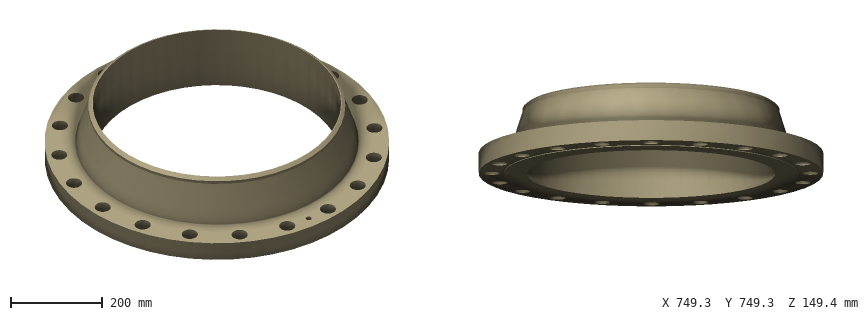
import cadquery as cq

flange_diameter = 749.3
flange_top = 46.0
raised_face_diameter = 641.4
raised_face_height = 1.6

overall_height = 149.42
bore_diameter = 540.0
hub_base_diameter = 616.0
hub_base_fillet = 3.0
hub_neck_diameter = 558.8
neck_height = 7.0
weld_bevel_height = 6.0
weld_land_width = 1.6

bolt_count = 20
bolt_hole_diameter = 34.9
bolt_circle_diameter = 692.2
bolt_pitch_angle = 360.0 / bolt_count

stepped_hole_angle = bolt_pitch_angle / 2
upper_step_diameter = 13.0
upper_step_depth = 10.0
lower_step_diameter = 7.25
stepped_hole_depth = 20.0


def flange_body():
    """Revolve the half section about Z, then round the foot of the hub."""
    bore_radius = bore_diameter / 2
    raised_face_radius = raised_face_diameter / 2
    flange_radius = flange_diameter / 2
    neck_radius = hub_neck_diameter / 2
    bevel_bottom = overall_height - weld_bevel_height
    neck_bottom = bevel_bottom - neck_height
    section = [
        (bore_radius, 0),
        (raised_face_radius, 0),
        (raised_face_radius, raised_face_height),
        (flange_radius, raised_face_height),
        (flange_radius, flange_top),
        (hub_base_diameter / 2, flange_top),
        (neck_radius, neck_bottom),
        (neck_radius, bevel_bottom),
        (bore_radius + weld_land_width, overall_height),
        (bore_radius, overall_height),
    ]
    body = cq.Workplane("XZ").polyline(section).close().revolve(360, (0, 0), (0, 1))
    flange_upper_face = body.faces(cq.selectors.NearestToPointSelector((0, 0, flange_top)))
    hub_foot_edge = flange_upper_face.edges(cq.selectors.RadiusNthSelector(0))
    return hub_foot_edge.fillet(hub_base_fillet)


def bolt_circle_hole(angle, diameter, depth):
    """Cylinder on the bolt circle, reaching down from the flange's upper face."""
    return (
        cq.Workplane("XY", origin=(0, 0, flange_top))
        .transformed(rotate=(0, 0, angle))
        .center(bolt_circle_diameter / 2, 0)
        .circle(diameter / 2)
        .extrude(-depth)
    )


result = flange_body()

for index in range(bolt_count):
    result = result.cut(bolt_circle_hole(index * bolt_pitch_angle, bolt_hole_diameter, flange_top))

result = result.cut(bolt_circle_hole(stepped_hole_angle, upper_step_diameter, upper_step_depth))
result = result.cut(bolt_circle_hole(stepped_hole_angle, lower_step_diameter, stepped_hole_depth))